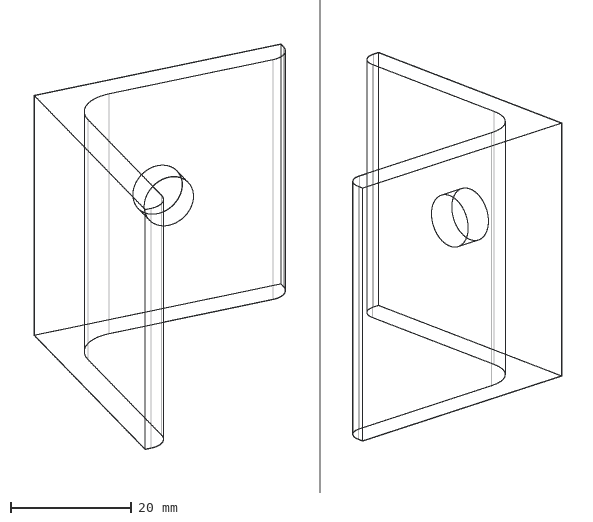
import cadquery as cq

leg_length = 45.0
height = leg_length
thickness = 4.6
root_radius = 7.0
toe_radius = 3.5
hole_diameter = 9.0


def angle_blank():
    """Sharp-cornered L section with its outer corner at the origin."""
    outline = [
        (0, 0),
        (leg_length, 0),
        (leg_length, thickness),
        (thickness, thickness),
        (thickness, leg_length),
        (0, leg_length),
    ]
    return cq.Workplane("XY").polyline(outline).close().extrude(height)


def vertical_edge_at(x, y):
    """Selector for the upright edge passing through (x, y)."""
    return cq.selectors.NearestToPointSelector((x, y, height / 2))


def leg_hole():
    """Cylinder through the centre of the leg lying along Y."""
    return (
        cq.Workplane("YZ")
        .center(leg_length / 2, height / 2)
        .circle(hole_diameter / 2)
        .extrude(thickness)
    )


angle = angle_blank()
angle = angle.edges(vertical_edge_at(thickness, thickness)).fillet(root_radius)
for toe_x, toe_y in [(leg_length, thickness), (thickness, leg_length)]:
    angle = angle.edges(vertical_edge_at(toe_x, toe_y)).fillet(toe_radius)

result = angle.cut(leg_hole())